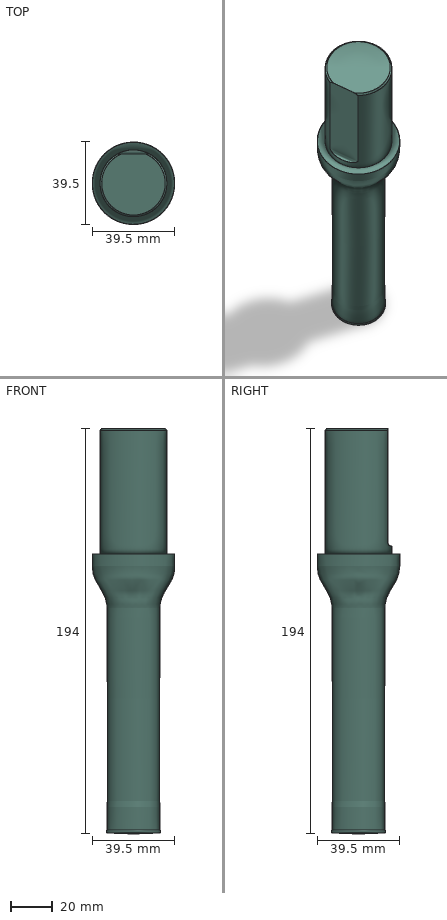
import cadquery as cq

total_length = 194.0
shank_length = 60.0
collar_top = total_length - shank_length
collar_bottom = 128.2
flare_bottom = 108.0
upper_neck_bottom = 103.4
relief_top = 64.8
relief_bottom = 15.7
head_top = 12.7
cutter_top = 1.9

shank_diameter = 32.0
collar_diameter = 39.5
body_diameter = 25.35
relief_diameter = 25.09
cutting_diameter = 26.0

shank_chamfer = 0.8
flat_distance = 14.0
flat_start = 3.7
flat_runout_radius = 2.0

cutting_edge_level = 1.2
point_diameter = 24.0
point_height = 0.45


def s_curve(profile, end):
    """Extend an (r, z) profile by a smooth step that is parallel to the axis at both ends."""
    down = (0, -1)
    return profile.spline([end], tangents=[down, down], includeCurrent=True)


def revolve_about_z(profile):
    return profile.close().revolve(360, (0, 0, 0), (0, 1, 0))


def make_holder():
    """Shank, collar, flared neck and drill body, turned as one piece."""
    shank_radius = shank_diameter / 2
    collar_radius = collar_diameter / 2
    body_radius = body_diameter / 2
    relief_radius = relief_diameter / 2

    profile = (
        cq.Workplane("XZ")
        .moveTo(0, total_length)
        .lineTo(shank_radius - shank_chamfer, total_length)
        .lineTo(shank_radius, total_length - shank_chamfer)
        .lineTo(shank_radius, collar_top)
        .lineTo(collar_radius, collar_top)
        .lineTo(collar_radius, collar_bottom)
    )
    profile = s_curve(profile, (body_radius, flare_bottom))
    profile = profile.lineTo(body_radius, upper_neck_bottom)
    profile = s_curve(profile, (relief_radius, relief_top))
    profile = (
        profile.lineTo(relief_radius, relief_bottom)
        .lineTo(body_radius, head_top)
        .lineTo(body_radius, cutter_top)
        .lineTo(0, cutter_top)
    )
    return revolve_about_z(profile).cut(make_flat_cutter())


def make_flat_cutter():
    """Block that cuts the clamping flat on the +Y side, with a rounded lower end."""
    flat_bottom = collar_top + flat_start
    flat_height = total_length - flat_bottom
    block_depth = shank_diameter / 2
    return (
        cq.Workplane("XY", origin=(0, flat_distance, flat_bottom))
        .box(shank_diameter, block_depth, flat_height, centered=(True, False, False))
        .edges("|X and <Y and <Z")
        .fillet(flat_runout_radius)
    )


def make_cutter():
    """Thin cutting disc at the tip, with a rounded rim slightly wider than the body above it."""
    profile = (
        cq.Workplane("XZ")
        .moveTo(0, cutter_top)
        .lineTo(body_diameter / 2, cutter_top)
        .threePointArc((cutting_diameter / 2, cutting_edge_level), (point_diameter / 2, point_height))
        .lineTo(0, 0)
    )
    return revolve_about_z(profile)


holder = make_holder()
cutter = make_cutter()

result = cq.Compound.makeCompound([holder.val(), cutter.val()])